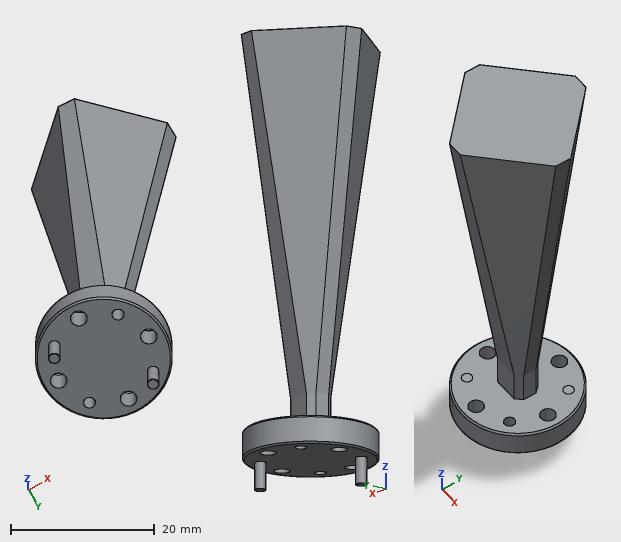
import cadquery as cq
import math

total_height = 63.9
flange_bottom = 3.95
flange_thickness = 4.0
neck_height = 4.85
flange_top = flange_bottom + flange_thickness
horn_bottom = flange_top + neck_height
horn_height = total_height - horn_bottom

flange_diameter = 19.05
flange_chamfer = 0.25
bolt_circle_radius = 7.15
screw_hole_diameter = 2.3
dowel_hole_diameter = 1.65

neck_width_x = 5.75
neck_width_y = 4.1
neck_flat_x = 3.95
neck_flat_y = 2.1
mouth_width = 21.6
mouth_flat = 2.55

pin_diameter = 1.6
pin_tip_chamfer = 0.05
long_pin_bottom = 0.0
short_pin_bottom = 0.05

screw_hole_angles = [0, 90, 180, 270]
dowel_hole_angles = [135, 315]
pin_bottoms = {45: long_pin_bottom, 225: short_pin_bottom}


def on_bolt_circle(angle):
    """XY point on the bolt circle at an angle in degrees from +X."""
    turn = math.radians(angle)
    return (bolt_circle_radius * math.cos(turn), bolt_circle_radius * math.sin(turn))


def octagon_points(width_x, width_y, flat_x, flat_y):
    """Corners of a centred rectangle with cut corners, counter-clockwise."""
    x, y = width_x / 2, width_y / 2
    fx, fy = flat_x / 2, flat_y / 2
    return [(x, -fy), (x, fy), (fx, y), (-fx, y), (-x, fy), (-x, -fy), (-fx, -y), (fx, -y)]


def cut_through_flange(body, angles, diameter):
    """Drill holes right through the flange at the given bolt-circle angles."""
    drills = (
        cq.Workplane("XY", origin=(0, 0, flange_bottom))
        .pushPoints([on_bolt_circle(angle) for angle in angles])
        .circle(diameter / 2)
        .extrude(flange_thickness)
    )
    return body.cut(drills)


def make_flange():
    """Round flange with its holes, including the two that hold the pins."""
    flange = (
        cq.Workplane("XY", origin=(0, 0, flange_bottom))
        .circle(flange_diameter / 2)
        .extrude(flange_thickness)
        .edges()
        .chamfer(flange_chamfer)
    )
    flange = cut_through_flange(flange, screw_hole_angles, screw_hole_diameter)
    flange = cut_through_flange(flange, dowel_hole_angles, dowel_hole_diameter)
    return cut_through_flange(flange, pin_bottoms, pin_diameter)


def make_horn_antenna():
    """Flange, straight neck and flared horn in one piece."""
    neck_outline = octagon_points(neck_width_x, neck_width_y, neck_flat_x, neck_flat_y)
    mouth_outline = octagon_points(mouth_width, mouth_width, mouth_flat, mouth_flat)
    neck = (
        cq.Workplane("XY", origin=(0, 0, flange_top))
        .polyline(neck_outline)
        .close()
        .extrude(neck_height)
    )
    horn = (
        cq.Workplane("XY", origin=(0, 0, horn_bottom))
        .polyline(neck_outline)
        .close()
        .workplane(offset=horn_height)
        .polyline(mouth_outline)
        .close()
        .loft(ruled=True)
    )
    return make_flange().union(neck).union(horn)


def make_pin(angle, bottom):
    """Dowel pin flush with the flange top, with a chamfered lower tip."""
    x, y = on_bolt_circle(angle)
    return (
        cq.Workplane("XY", origin=(x, y, bottom))
        .circle(pin_diameter / 2)
        .extrude(flange_top - bottom)
        .faces("<Z")
        .chamfer(pin_tip_chamfer)
    )


horn_antenna = make_horn_antenna()
pins = [make_pin(angle, bottom) for angle, bottom in pin_bottoms.items()]

result = cq.Compound.makeCompound([horn_antenna.val(), *[pin.val() for pin in pins]])